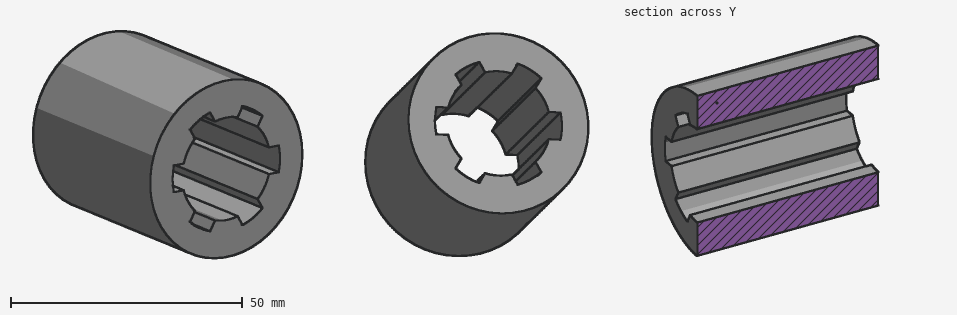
import cadquery as cq

sleeve_length = 45.0
outer_diameter = 39.7
bore_diameter = 23.0
groove_diameter = 28.0
groove_width = 6.0
groove_count = 6


def cylinder_along_x(diameter):
    """Solid cylinder spanning the sleeve length."""
    return cq.Workplane("YZ").circle(diameter / 2).extrude(sleeve_length)


def groove_bars():
    """Parallel-sided bars through the axis; each one forms two opposite grooves."""
    bars = cq.Workplane("YZ")
    bar_count = groove_count // 2
    for index in range(bar_count):
        angle = index * 360.0 / groove_count
        bar = (
            cq.Workplane("YZ")
            .rect(outer_diameter, groove_width)
            .extrude(sleeve_length)
            .rotate((0, 0, 0), (1, 0, 0), angle)
        )
        bars = bars.add(bar)
    return bars.combine()


def splined_bore():
    """Round bore plus grooves whose floors lie on the groove diameter."""
    grooves = groove_bars().intersect(cylinder_along_x(groove_diameter))
    return cylinder_along_x(bore_diameter).union(grooves)


result = cylinder_along_x(outer_diameter).cut(splined_bore())